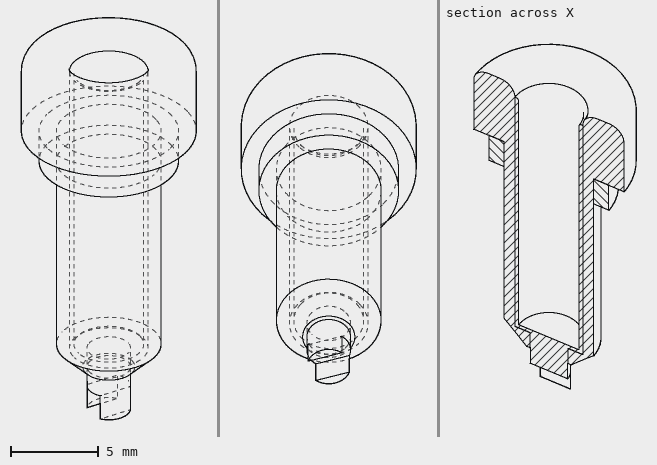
import cadquery as cq

total_height = 23.5
head_height = 5.0
collar_height = 2.0
taper_height = 1.5
tail_length = 2.8

head_diameter = 10.0
collar_diameter = 8
barrel_diameter = 6.0
contact_diameter = 4.5
bore_diameter = 4
tail_diameter = 2.5

edge_radius = 1.0
bore_edge_radius = 0.2
slot_width = 1.45
slot_depth = 1.55

housing_bottom = tail_length
head_bottom = total_height - head_height
contact_top = total_height - edge_radius
bore_floor = housing_bottom + taper_height
contact_floor_thickness = (contact_diameter - bore_diameter) / 2
contact_bottom = bore_floor - contact_floor_thickness


def cylinder(diameter, bottom, top):
    """Upright cylinder on the Z axis between two levels."""
    return cq.Workplane("XY").workplane(offset=bottom).circle(diameter / 2).extrude(top - bottom)


def make_housing():
    """Insulating housing: rounded head and tapered barrel around the contact."""
    head = cylinder(head_diameter, head_bottom, total_height)
    barrel = cylinder(barrel_diameter, housing_bottom, head_bottom)
    barrel = barrel.faces("<Z").chamfer(taper_height)
    contact_seat = cylinder(contact_diameter, contact_bottom, total_height)
    tail_hole = cylinder(tail_diameter, housing_bottom, contact_bottom)
    housing = head.union(barrel).cut(contact_seat).cut(tail_hole)
    return housing.faces(">Z").edges().fillet(edge_radius)


def make_collar():
    """Plain ring around the barrel, against the underside of the head."""
    ring = cylinder(collar_diameter, head_bottom - collar_height, head_bottom)
    return ring.cut(cylinder(barrel_diameter, head_bottom - collar_height, head_bottom))


def make_contact():
    """Contact cup with a forked solder tail."""
    cup = cylinder(contact_diameter, contact_bottom, contact_top)
    bore = cylinder(bore_diameter, bore_floor, contact_top)
    tail = cylinder(tail_diameter, 0, contact_bottom)
    slot = cq.Workplane("XY").box(slot_width, tail_diameter, slot_depth, centered=(True, True, False))
    cup = cup.cut(bore)
    cup = cup.faces(">Z").edges(cq.selectors.RadiusNthSelector(0)).fillet(bore_edge_radius)
    return cup.union(tail).cut(slot)


housing = make_housing()
collar = make_collar()
contact = make_contact()

result = cq.Compound.makeCompound([
    *housing.solids().vals(),
    *collar.solids().vals(),
    *contact.solids().vals(),
])